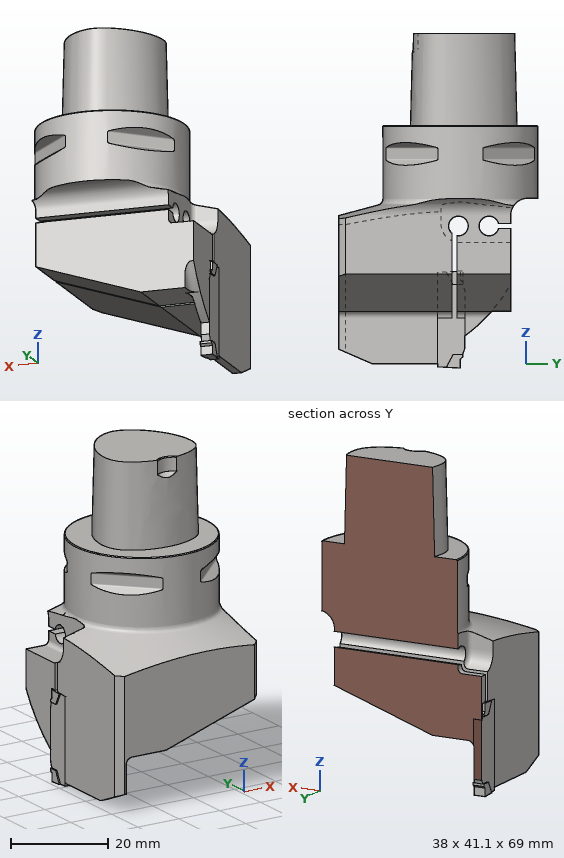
import cadquery as cq
import math


shank_length = 19.0
shank_mean_radius = 11.0
lobe_amplitude = 0.7
taper_per_length = 1 / 40
lobe_half_angle = 24.0
points_per_face = 9

key_radius = 3.3
key_axis_y = -12.05
key_chamfer = 0.2
key_bottom_z = 15.8
key_tip_angle = 104.0

flange_radius = 16.0
flange_depth = 15.0
flange_chamfer = 0.2

gripper_flat_distance = 14.1
gripper_center_z = -5.85
gripper_floor_half = 1.25
gripper_flank_angle = 30.0
gripper_corner_radius = 0.4
gripper_angles = (45, 135, 225, 315)

neck_cone_z = -16.1
cone_slope = math.tan(math.radians(15))
neck_radius = 1.2
wall_flare_radius = 3.5

head_left = -21.7
head_right = 13.0
head_front = -25.1
head_back = 10.4
corner_chamfer = 1.45
head_bottom = -38.3
slope_left_x = -10.1
slope_right_z = -30.6

blade_thickness = 1.9
blade_back = head_left + blade_thickness
blade_fillet = 1.4
blade_bottom = -49.1
blade_slope_y = -18.2
blade_front_z = -46.1
relief_top = (head_back, -32.7)
relief_middle = (6.0, -38.8)
relief_end = (0.9, -43.4)

recess_wall_x = -16.15
recess_front_y = -4.0
recess_floor_z = -24.15
recess_corner_radius = 4.0
recess_fillet = 1.0
hole_diameter = 4.0
hole_z = -20.7
hole_ys = (-0.4, 5.9)
slit_width = 1.0
clamp_slit_y = -1.2

insert_center_z = -40.0
insert_half_length = 10.0
insert_heel_half_length = 9.75
insert_front_y = -4.7
insert_back_y = 0.95
insert_tip_y = 0.0
insert_seat_y = 0.5
seat_taper_start = 5.9
seat_taper_end = 7.2
tip_relief_start = 7.7
tip_relief_end = 8.15
cutting_left_x = -22.0
cutting_right_x = -19.45
cutting_inner_y = -1.5
cutting_root_y = -2.9

margin = 5.0


def lobed_wire(mean_radius, z):
    """Constant-width three-lobed outline whose crests lie at 90, 210 and 330 degrees."""
    def point(angle):
        phase = 3 * (angle - math.pi / 2)
        support = mean_radius + lobe_amplitude * math.cos(phase)
        slope = -3 * lobe_amplitude * math.sin(phase)
        x = support * math.cos(angle) - slope * math.sin(angle)
        y = support * math.sin(angle) + slope * math.cos(angle)
        return cq.Vector(x, y, z)

    def tangent(angle):
        return cq.Vector(-math.sin(angle), math.cos(angle), 0)

    seams = []
    for crest in (90, 210, 330):
        seams += [math.radians(crest - lobe_half_angle), math.radians(crest + lobe_half_angle)]
    seams.append(seams[0] + 2 * math.pi)
    edges = []
    for start, end in zip(seams, seams[1:]):
        step = (end - start) / (points_per_face - 1)
        points = [point(start + i * step) for i in range(points_per_face)]
        edges.append(cq.Edge.makeSpline(points, tangents=[tangent(start), tangent(end)]))
    return cq.Wire.assembleEdges(edges)


def side_prism(outline_points, x_start, x_end):
    """Prism along X from a polygon of (Y, Z) points."""
    outline = cq.Workplane("YZ", origin=(x_start, 0, 0)).polyline(outline_points).close()
    return outline.extrude(x_end - x_start)


def range_box(x_range, y_range, z_range):
    """Box given by its limits along X, Y and Z."""
    size = [r[1] - r[0] for r in (x_range, y_range, z_range)]
    corner = (x_range[0], y_range[0], z_range[0])
    return cq.Workplane("XY").box(*size, centered=False).translate(corner)


def make_shank():
    top_radius = shank_mean_radius - taper_per_length * shank_length
    base = lobed_wire(shank_mean_radius, 0)
    top = lobed_wire(top_radius, shank_length)
    shank = cq.Workplane(obj=cq.Solid.makeLoft([base, top], True))

    tip_depth = key_radius / math.tan(math.radians(key_tip_angle / 2))
    key_cutter = (
        cq.Workplane("XZ", origin=(0, key_axis_y, 0))
        .moveTo(0, key_bottom_z - tip_depth)
        .lineTo(key_radius, key_bottom_z)
        .lineTo(key_radius, shank_length - key_chamfer)
        .lineTo(key_radius + key_chamfer, shank_length)
        .lineTo(key_radius + key_chamfer, shank_length + margin)
        .lineTo(0, shank_length + margin)
        .close()
        .revolve(360, (0, 0, 0), (0, 1, 0))
    )
    return shank.cut(key_cutter)


def make_turned_envelope():
    """Flange cylinder that blends into a wide cone, deep enough to hold the whole head."""
    outer_radius = 40.0
    cone_angle = math.atan(cone_slope)
    blend_setback = neck_radius * math.tan((math.pi / 2 - cone_angle) / 2)
    blend_top = (flange_radius, neck_cone_z + blend_setback)
    blend_end = (
        flange_radius + blend_setback * math.cos(cone_angle),
        neck_cone_z - blend_setback * math.sin(cone_angle),
    )
    cone_rim_z = neck_cone_z - cone_slope * (outer_radius - flange_radius)
    floor_z = insert_center_z - insert_half_length - margin
    return (
        cq.Workplane("XZ")
        .moveTo(0, 0)
        .lineTo(flange_radius - flange_chamfer, 0)
        .lineTo(flange_radius, -flange_chamfer)
        .lineTo(*blend_top)
        .tangentArcPoint(blend_end, relative=False)
        .lineTo(outer_radius, cone_rim_z)
        .lineTo(outer_radius, floor_z)
        .lineTo(0, floor_z)
        .close()
        .revolve(360, (0, 0, 0), (0, 1, 0))
    )


def make_front_profile():
    """Head outline in X and Z, with the blade hanging down on the left."""
    reach = flange_radius + margin
    flare_z = -flange_depth - wall_flare_radius
    return (
        cq.Workplane("XZ", origin=(0, reach, 0))
        .moveTo(head_left, 0)
        .lineTo(head_left, blade_bottom)
        .lineTo(blade_back, blade_bottom)
        .lineTo(blade_back, head_bottom - blade_fillet)
        .tangentArcPoint((blade_back + blade_fillet, head_bottom), relative=False)
        .lineTo(slope_left_x, head_bottom)
        .lineTo(head_right, slope_right_z)
        .lineTo(head_right, flare_z)
        .tangentArcPoint((head_right + wall_flare_radius, -flange_depth), relative=False)
        .lineTo(reach, -flange_depth)
        .lineTo(reach, 0)
        .close()
        .extrude(reach - head_front)
    )


def make_side_profile():
    """Head outline in Y and Z, with the sloping lower corner of the blade."""
    reach = flange_radius + margin
    flare_z = -flange_depth - wall_flare_radius
    return (
        cq.Workplane("YZ", origin=(head_left, 0, 0))
        .moveTo(head_front, 0)
        .lineTo(head_front, blade_front_z)
        .lineTo(blade_slope_y, blade_bottom)
        .lineTo(head_back, blade_bottom)
        .lineTo(head_back, flare_z)
        .tangentArcPoint((head_back + wall_flare_radius, -flange_depth), relative=False)
        .lineTo(reach, -flange_depth)
        .lineTo(reach, 0)
        .close()
        .extrude(reach - head_left)
    )


def make_plan_profile():
    """Plan outline that bevels both front corners and leaves the flared walls free."""
    reach = flange_radius + margin
    bevel_y = head_front + corner_chamfer
    outline = [
        (head_left, bevel_y),
        (head_left + corner_chamfer, head_front),
        (head_right - corner_chamfer, head_front),
        (head_right, bevel_y),
        (reach, bevel_y),
        (reach, reach),
        (head_left, reach),
    ]
    return cq.Workplane("XY").polyline(outline).close().extrude(blade_bottom)


def relief_prism(x_start, x_end):
    """Region outside the rounded lower edge of the blade."""
    low_z = blade_bottom - margin
    far_y = head_back + margin
    return (
        cq.Workplane("YZ", origin=(x_start, 0, 0))
        .moveTo(*relief_top)
        .threePointArc(relief_middle, relief_end)
        .lineTo(insert_tip_y, relief_end[1])
        .lineTo(insert_tip_y, low_z)
        .lineTo(far_y, low_z)
        .lineTo(far_y, relief_top[1])
        .close()
        .extrude(x_end - x_start)
    )


def cut_blade_relief(body):
    corner_pocket = relief_prism(head_left - margin, blade_back)
    corner_pocket = corner_pocket.faces(">X").edges("not(#Y or #Z)").fillet(blade_fillet)
    trim_end_x = blade_back + blade_fillet
    below_head = range_box(
        (head_left - margin, trim_end_x),
        (insert_tip_y - margin, head_back + margin),
        (blade_bottom - 2 * margin, head_bottom),
    )
    trim = relief_prism(head_left - margin, trim_end_x).intersect(below_head)
    return body.cut(corner_pocket).cut(trim)


def cut_gripper_grooves(body):
    depth = flange_radius + margin - gripper_flat_distance
    outer_half = gripper_floor_half + depth * math.tan(math.radians(gripper_flank_angle))
    groove = (
        cq.Workplane("XZ", origin=(0, flange_radius, 0))
        .moveTo(gripper_flat_distance, gripper_center_z - gripper_floor_half)
        .lineTo(gripper_flat_distance + depth, gripper_center_z - outer_half)
        .lineTo(gripper_flat_distance + depth, gripper_center_z + outer_half)
        .lineTo(gripper_flat_distance, gripper_center_z + gripper_floor_half)
        .close()
        .extrude(2 * flange_radius)
        .edges("|Y and <X")
        .fillet(gripper_corner_radius)
    )
    for angle in gripper_angles:
        body = body.cut(groove.rotate((0, 0, 0), (0, 0, 1), angle))
    return body


def cut_clamp_recess(body):
    recess = range_box(
        (head_left - margin, recess_wall_x),
        (recess_front_y, head_back + margin),
        (recess_floor_z, -flange_depth + margin),
    )
    recess = recess.edges("|X and <Y and <Z").fillet(recess_corner_radius)
    recess = recess.faces(">X").edges().fillet(recess_fillet)
    return body.cut(recess)


def cut_holes_and_slits(body):
    x_range = (head_left - margin, head_right + margin)
    half_slit = slit_width / 2
    for y in hole_ys:
        hole = cq.Workplane("YZ", origin=(x_range[0], y, hole_z)).circle(hole_diameter / 2)
        body = body.cut(hole.extrude(x_range[1] - x_range[0]))
    back_slit = range_box(
        x_range,
        (hole_ys[1], head_back + margin),
        (hole_z - half_slit, hole_z + half_slit),
    )
    clamp_slit = range_box(
        x_range,
        (clamp_slit_y - half_slit, clamp_slit_y + half_slit),
        (blade_bottom - margin, hole_z),
    )
    return body.cut(back_slit).cut(clamp_slit)


def mirrored_ends(half_outline):
    """Close an upper half outline of (Y, height) points by mirroring it about the insert centre."""
    upper = [(y, insert_center_z + h) for y, h in half_outline]
    lower = [(y, insert_center_z - h) for y, h in reversed(half_outline)]
    return upper + lower


insert_outline = [
    (insert_back_y, seat_taper_start),
    (insert_seat_y, seat_taper_end),
    (insert_seat_y, tip_relief_start),
    (insert_tip_y, tip_relief_end),
    (insert_tip_y, insert_half_length),
    (insert_front_y, insert_heel_half_length),
]
seat_outline = [
    (insert_back_y, seat_taper_start),
    (insert_seat_y, seat_taper_end),
    (insert_seat_y, insert_half_length),
    (insert_tip_y, insert_half_length),
    (insert_front_y, insert_heel_half_length),
]
heel_slope = (insert_half_length - insert_heel_half_length) / (insert_tip_y - insert_front_y)
cutting_end_outline = [
    (insert_seat_y, seat_taper_end),
    (insert_seat_y, tip_relief_start),
    (insert_tip_y, tip_relief_end),
    (insert_tip_y, insert_half_length),
    (cutting_root_y, insert_half_length + heel_slope * (cutting_root_y - insert_tip_y)),
    (cutting_inner_y, seat_taper_end),
]


def cutting_end(direction):
    """Widened cutting end; direction is 1 for the upper end and -1 for the lower end."""
    points = [(y, insert_center_z + direction * h) for y, h in cutting_end_outline]
    return side_prism(points, cutting_left_x, cutting_right_x)


def make_insert():
    core = side_prism(mirrored_ends(insert_outline), head_left, blade_back)
    for direction in (1, -1):
        core = core.union(cutting_end(direction))
    return core


def cut_insert_seat(body):
    seat = side_prism(mirrored_ends(seat_outline), head_left - margin, blade_back)
    return body.cut(seat).cut(cutting_end(1))


def make_holder():
    envelope = make_turned_envelope()
    flange_zone = cq.Workplane("XY").circle(2 * flange_radius).extrude(-flange_depth)
    head_zone = make_front_profile().intersect(make_side_profile()).intersect(make_plan_profile())
    flange = envelope.intersect(flange_zone)
    head = envelope.intersect(head_zone)
    body = flange.union(head)
    body = cut_blade_relief(body)
    body = cut_clamp_recess(body)
    body = cut_gripper_grooves(body)
    body = cut_holes_and_slits(body)
    body = cut_insert_seat(body)
    return body.union(make_shank())


holder = make_holder()
insert = make_insert()

result = cq.Compound.makeCompound([*holder.vals(), *insert.vals()])